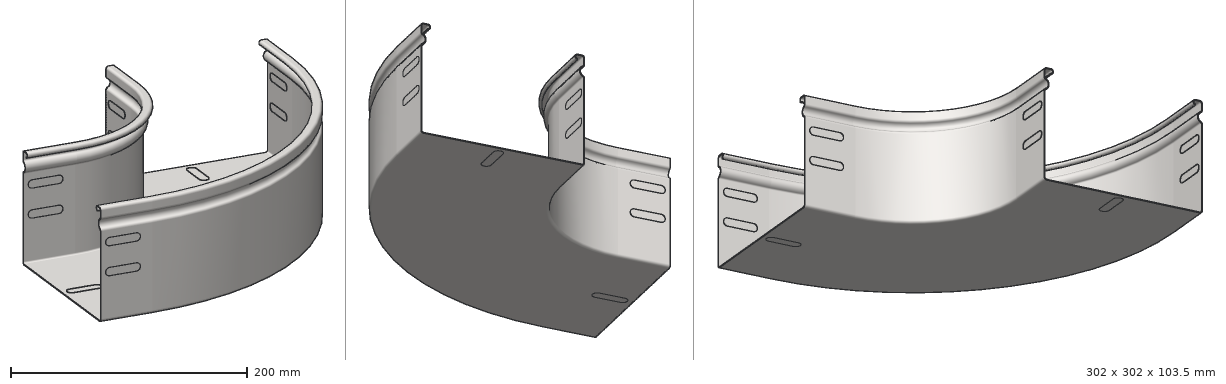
import cadquery as cq
import math

overall_size = 302.0
tray_width = 152.8
straight_length = 49.0

wall_height = 103.5
sheet = 1.0
fold_radius = 2.57
lip_width = 9.0

groove_drop = 15.0
groove_depth = 4.0
groove_radius = 4.5
groove_edge_radius = 2.57

slot_length = 32.5
slot_margin = 4.8
floor_slot_width = 9.0
wall_slot_width = 7.5
slot_depth = sheet / 2
wall_slot_drops = (32.0, 59.2)

touching = 3.02e-06

outer_bend_radius = overall_size - straight_length


def wall_arcs(depth):
    """Arcs from floor to lip of the wall surface lying `depth` into the sheet from its outer face.

    Each arc is its start, middle and end point, given as (distance inward from the wall, height).
    """
    groove_height = wall_height - groove_drop
    groove_centre = groove_depth - groove_radius
    edge_inset = groove_edge_radius - groove_centre
    half_span = math.sqrt((groove_radius + groove_edge_radius) ** 2 - edge_inset**2)
    groove_angle = math.degrees(math.atan2(half_span, edge_inset))

    inside_bend = fold_radius - depth
    groove_edge = groove_edge_radius - depth
    groove = groove_radius + depth
    top = wall_height - fold_radius
    bends = (
        (fold_radius, fold_radius, inside_bend, 270, 180),
        (groove_edge_radius, groove_height - half_span, groove_edge, 180, 180 - groove_angle),
        (groove_centre, groove_height, groove, -groove_angle, groove_angle),
        (groove_edge_radius, groove_height + half_span, groove_edge, 180 + groove_angle, 180),
        (fold_radius, top, inside_bend, 180, 90),
        (lip_width - fold_radius, top, inside_bend, 90, -90),
    )
    arcs = []
    for inward, height, radius, start, end in bends:
        angles = [math.radians(a) for a in (start, (start + end) / 2, end)]
        arcs.append([(inward + radius * math.cos(a), height + radius * math.sin(a)) for a in angles])
    return arcs


def backward(arcs):
    """The same arcs run from last to first."""
    return [arc[::-1] for arc in arcs[::-1]]


def opposite(arcs):
    """The arcs of one wall mirrored onto the other wall."""
    return [[(tray_width - inward, height) for inward, height in arc] for arc in arcs]


def tray_section(plane):
    """Closed section of the tray; its local x runs from the outer wall to the inner wall."""
    outside = wall_arcs(0)
    inside = wall_arcs(sheet)
    outline = backward(outside) + opposite(outside) + backward(opposite(inside)) + inside
    section = cq.Workplane(plane).moveTo(*outline[0][0])
    last_point = outline[0][0]
    for start, middle, end in outline:
        if math.dist(last_point, start) > touching:
            section = section.lineTo(*start)
        section = section.threePointArc(middle, end)
        last_point = end
    return section.close()


def end_recesses():
    """Cutters for the slots at the end X = 0: one in the floor and two in each wall.

    The outer wall is recessed on its inside face and the inner wall on the face toward the bend centre.
    """
    middle_x = slot_margin + slot_length / 2
    middle_y = overall_size - tray_width / 2
    cutters = (
        cq.Workplane("XY", origin=(middle_x, middle_y, sheet - slot_depth))
        .slot2D(slot_length, floor_slot_width)
        .extrude(sheet)
    )
    outer_wall_recess = overall_size - sheet + slot_depth
    inner_wall_recess = overall_size - tray_width + slot_depth
    for recess_y in (outer_wall_recess, inner_wall_recess):
        for drop in wall_slot_drops:
            wall_slot = (
                cq.Workplane("XZ", origin=(middle_x, recess_y, wall_height - drop))
                .slot2D(slot_length, wall_slot_width)
                .extrude(sheet)
            )
            cutters = cutters.union(wall_slot)
    return cutters


def opposite_end(shape):
    """Mirror across the plane X = Y, which carries one end of the elbow onto the other."""
    return shape.mirror(cq.Vector(1, -1, 0).normalized())


section_plane = cq.Plane(origin=(straight_length, overall_size, 0), xDir=(0, -1, 0), normal=(-1, 0, 0))

straight = tray_section(section_plane).extrude(straight_length)
bend = tray_section(section_plane).revolve(90, (outer_bend_radius, 0, 0), (outer_bend_radius, -1, 0))
end_piece = straight.cut(end_recesses())
result = bend.union(end_piece).union(opposite_end(end_piece))